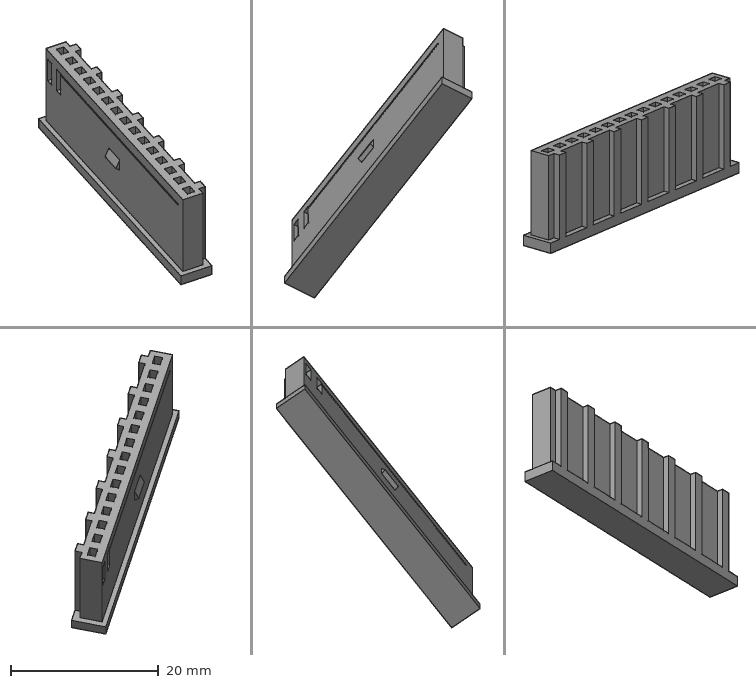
import cadquery as cq

FLANGE_LENGTH = 40.13
FLANGE_DEPTH = 4.8
FLANGE_HEIGHT = 1.5
TOTAL_HEIGHT = 13.72

END_MARGIN = 0.76
FRONT_MARGIN = 0.71
END_STEP_DEPTH = 0.97
BODY_LENGTH = FLANGE_LENGTH - 2 * END_MARGIN
BODY_HEIGHT = TOTAL_HEIGHT - FLANGE_HEIGHT
BODY_BACK = FLANGE_DEPTH - END_STEP_DEPTH
BODY_DEPTH = BODY_BACK - FRONT_MARGIN

RIB_COUNT = 7
RIB_DEPTH = 0.87
RIB_PITCH = 5.83
RIB_WIDTH = 1.4
RIB_SPAN = (RIB_COUNT - 1) * RIB_PITCH + RIB_WIDTH

CAVITY_COUNT = 15
CAVITY_PITCH = 2.54
CAVITY_WIDTH = 1.33
CAVITY_LENGTH_Y = 1.1
CAVITY_Y = 2.44
CAVITY_DEPTH = 10.0

WINDOW_COUNT = 2
WINDOW_OFFSET = -0.47
WINDOW_WIDTH = 1.1
WINDOW_BOTTOM = 8.57
WINDOW_TOP = 12.2
WINDOW_DEPTH = 0.75

GROOVE_HEIGHT = 0.1
GROOVE_DEPTH = 0.15
GROOVE_Z = 11.95

LATCH_WIDTH = 3.05
LATCH_BOTTOM = 6.9
LATCH_TOP = 8.62
LATCH_TIP_BOTTOM = 7.35
LATCH_TIP_TOP = 7.6
LATCH_REACH = 0.59
LATCH_TIP_SET_BACK = 0.1


def box(length, depth, height, x_middle, y_front, z_bottom):
    """Box centred on x_middle, running back from y_front and up from z_bottom."""
    block = cq.Workplane("XY").box(length, depth, height, centered=(True, False, False))
    return block.translate((x_middle, y_front, z_bottom))


def row_positions(count, pitch):
    """Evenly spaced X positions, symmetric about X = 0."""
    return [(i - (count - 1) / 2) * pitch for i in range(count)]


def make_housing():
    flange = box(FLANGE_LENGTH, FLANGE_DEPTH, FLANGE_HEIGHT, 0, 0, 0)
    body = box(BODY_LENGTH, BODY_DEPTH, BODY_HEIGHT, 0, FRONT_MARGIN, FLANGE_HEIGHT)
    housing = flange.union(body)
    wall_back = FLANGE_DEPTH - RIB_DEPTH
    housing = housing.union(box(RIB_SPAN, wall_back - CAVITY_Y, TOTAL_HEIGHT, 0, CAVITY_Y, 0))
    for x in row_positions(RIB_COUNT, RIB_PITCH):
        rib = box(RIB_WIDTH, FLANGE_DEPTH - CAVITY_Y, TOTAL_HEIGHT, x, CAVITY_Y, 0)
        housing = housing.union(rib)
    return housing


def make_latch():
    tip_y = FRONT_MARGIN - LATCH_REACH
    profile = [
        (FRONT_MARGIN, LATCH_BOTTOM),
        (tip_y, LATCH_TIP_BOTTOM),
        (tip_y + LATCH_TIP_SET_BACK, LATCH_TIP_TOP),
        (FRONT_MARGIN, LATCH_TOP),
    ]
    wedge = cq.Workplane("YZ").polyline(profile).close()
    return wedge.extrude(LATCH_WIDTH / 2, both=True)


def cut_cavities(part, cavity_xs):
    cavity_front = CAVITY_Y - CAVITY_LENGTH_Y / 2
    cavity_floor = TOTAL_HEIGHT - CAVITY_DEPTH
    for x in cavity_xs:
        part = part.cut(box(CAVITY_WIDTH, CAVITY_LENGTH_Y, CAVITY_DEPTH, x, cavity_front, cavity_floor))
    return part


def cut_windows(part, window_xs):
    height = WINDOW_TOP - WINDOW_BOTTOM
    for x in window_xs[:WINDOW_COUNT]:
        part = part.cut(box(WINDOW_WIDTH, WINDOW_DEPTH, height, x, FRONT_MARGIN, WINDOW_BOTTOM))
    return part


def cut_groove(part, window_xs):
    start = window_xs[WINDOW_COUNT - 1]
    end = window_xs[-1] + WINDOW_WIDTH / 2
    groove_bottom = GROOVE_Z - GROOVE_HEIGHT / 2
    groove = box(end - start, GROOVE_DEPTH, GROOVE_HEIGHT, (start + end) / 2, FRONT_MARGIN, groove_bottom)
    return part.cut(groove)


cavity_xs = row_positions(CAVITY_COUNT, CAVITY_PITCH)
window_xs = [x + WINDOW_OFFSET for x in cavity_xs]

part = make_housing().union(make_latch())
part = cut_cavities(part, cavity_xs)
part = cut_windows(part, window_xs)
result = cut_groove(part, window_xs)